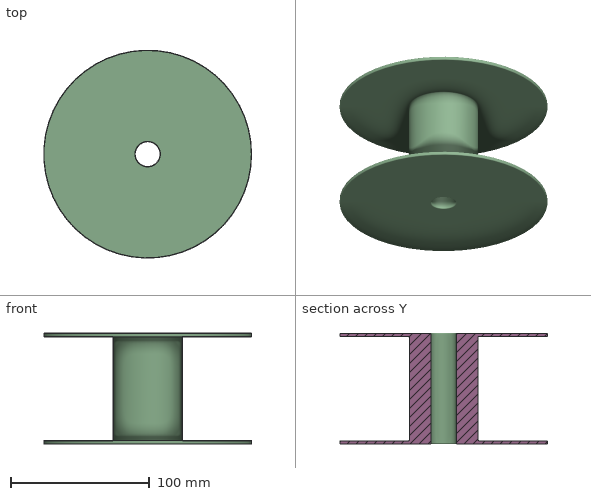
import cadquery as cq

flange_diameter = 150.0
spool_height = 80.0
flange_thickness = 2.5
core_diameter = flange_diameter / 3
bore_diameter = 18.0

edge_fillet = 0.5


def disc(diameter, bottom_z, height):
    """Solid cylinder centred on the spool axis."""
    return cq.Workplane("XY").workplane(offset=bottom_z).circle(diameter / 2).extrude(height)


spool = (
    disc(core_diameter, 0, spool_height)
    .union(disc(flange_diameter, 0, flange_thickness))
    .union(disc(flange_diameter, spool_height - flange_thickness, flange_thickness))
    .cut(disc(bore_diameter, 0, spool_height))
)

result = spool.edges("%CIRCLE").fillet(edge_fillet)